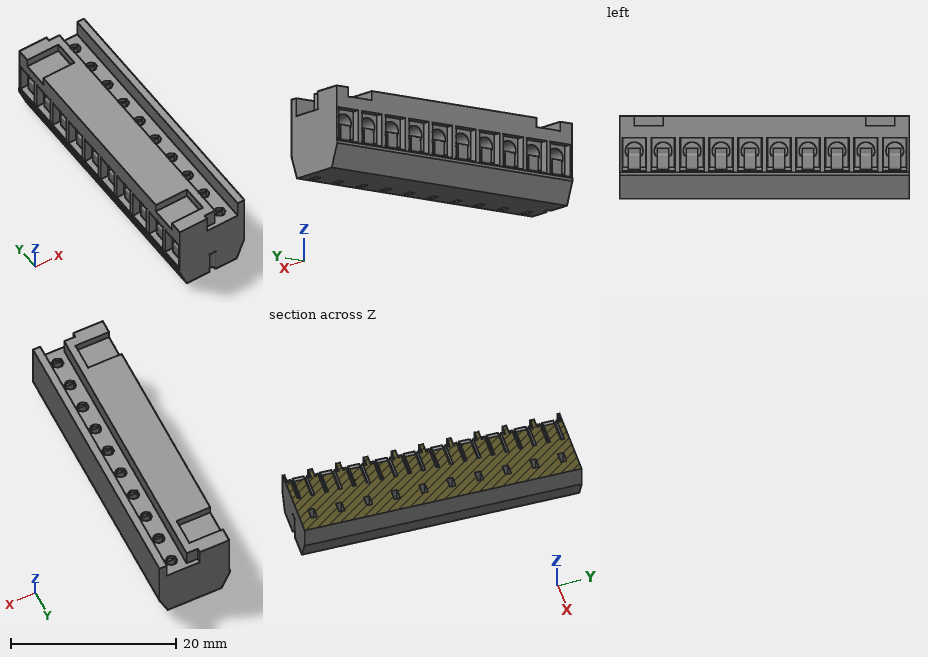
import cadquery as cq

LENGTH = 35.0
WIDTH = 9.5
HEIGHT = 10.0
POLES = 10
PITCH = LENGTH / POLES
pole_positions = [(i - (POLES - 1) / 2) * PITCH for i in range(POLES)]

LIP = 0.1
LIP_TOP = 3.22
SHOULDER_HEIGHT = 2.85
TAPER = 1.12

GROOVE_LEFT = 5.55
GROOVE_RIGHT = 8.5
GROOVE_FLOOR = 7.77
END_NOTCH_LEFT = 4.05
END_NOTCH_LENGTH = 0.55

RECESS_REACH = 4.62
RECESS_LENGTH = PITCH
RECESS_DEPTH = 1.15
RECESS_Y = LENGTH / 2 - PITCH

HOLE_X = (GROOVE_LEFT + GROOVE_RIGHT) / 2
HOLE_DIAMETER = 1.3
HOLE_DEPTH = 0.52
SLOT_WIDTH = 0.65

WINDOW_WIDTH = 2.95
WINDOW_FLOOR = 3.35
WINDOW_TOP = 7.35
WINDOW_DEPTH = 1.3

PLATE_WIDTH = 2.73
PLATE_BOTTOM = 3.8
PLATE_THICKNESS = 0.35
PLATE_BACK = LIP + WINDOW_DEPTH
PLATE_FRONT = PLATE_BACK - PLATE_THICKNESS
WIRE_DIAMETER = 2.15
WIRE_Z = 5.78
WIRE_FLAT_Z = 5.18
WIRE_END = 4.2

CLIP_WIDTH = 1.4
CLIP_THICKNESS = 0.3
CLIP_FRONT = PLATE_FRONT - CLIP_THICKNESS
CLIP_TOP = WIRE_FLAT_Z + CLIP_THICKNESS
CLIP_BOTTOM = PLATE_BOTTOM - CLIP_THICKNESS
CLIP_TAIL_TOP = 6.1

KEY_X = 4.85
KEY_HEIGHT = 3.2
KEY_MOUTH_WIDTH = 1.0
KEY_DEPTH = 0.5
KEY_MOUTH_RADIUS = 0.15
KEY_CORNER_RADIUS = 0.07


def block(x_range, y_center, y_length, z_range):
    """Box between two X and two Z values, centred on y_center."""
    return (
        cq.Workplane("XY")
        .box(x_range[1] - x_range[0], y_length, z_range[1] - z_range[0], centered=(False, True, False))
        .translate((x_range[0], y_center, z_range[0]))
    )


def extrude_profile(profile, y_center, y_length):
    """Extrude a closed XZ profile by y_length, centred on y_center."""
    return profile.close().extrude(y_length / 2, both=True).translate((0, y_center, 0))


def housing():
    """Profiled block with the top groove, its end notches and the two front recesses."""
    profile = cq.Workplane("XZ").polyline([
        (TAPER, 0),
        (WIDTH - TAPER, 0),
        (WIDTH, SHOULDER_HEIGHT),
        (WIDTH, HEIGHT),
        (LIP, HEIGHT),
        (LIP, LIP_TOP),
        (0, LIP_TOP),
        (0, SHOULDER_HEIGHT),
    ])
    body = extrude_profile(profile, 0, LENGTH)
    body = body.cut(block((GROOVE_LEFT, GROOVE_RIGHT), 0, LENGTH, (GROOVE_FLOOR, HEIGHT)))
    for side in (-1, 1):
        notch_y = side * (LENGTH - END_NOTCH_LENGTH) / 2
        body = body.cut(
            block((END_NOTCH_LEFT, GROOVE_LEFT), notch_y, END_NOTCH_LENGTH, (GROOVE_FLOOR, HEIGHT))
        )
        body = body.cut(
            block((0, RECESS_REACH), side * RECESS_Y, RECESS_LENGTH, (HEIGHT - RECESS_DEPTH, HEIGHT))
        )
    return body


def keyway():
    """Upright slot whose walls flare out at the mouth and round into its back."""
    mouth = KEY_MOUTH_WIDTH / 2
    wall = mouth - KEY_MOUTH_RADIUS
    back = wall - KEY_CORNER_RADIUS
    corner_start = KEY_DEPTH - KEY_CORNER_RADIUS
    return (
        cq.Workplane("XY")
        .moveTo(-mouth, 0)
        .radiusArc((-wall, KEY_MOUTH_RADIUS), -KEY_MOUTH_RADIUS)
        .lineTo(-wall, corner_start)
        .radiusArc((-back, KEY_DEPTH), KEY_CORNER_RADIUS)
        .lineTo(back, KEY_DEPTH)
        .radiusArc((wall, corner_start), KEY_CORNER_RADIUS)
        .lineTo(wall, KEY_MOUTH_RADIUS)
        .radiusArc((mouth, 0), -KEY_MOUTH_RADIUS)
        .close()
        .extrude(KEY_HEIGHT)
        .translate((KEY_X, -LENGTH / 2, 0))
    )


def test_hole(y):
    """Round hole in the groove floor above a slot that runs through the underside."""
    radius = HOLE_DIAMETER / 2
    bore = (
        cq.Workplane("XY", origin=(HOLE_X, y, GROOVE_FLOOR - HOLE_DEPTH))
        .circle(radius)
        .extrude(HOLE_DEPTH)
    )
    return bore.union(block((HOLE_X - radius, HOLE_X + radius), y, SLOT_WIDTH, (0, GROOVE_FLOOR)))


def window(y):
    """Window opening around the plate, plus the wire hole through it."""
    opening = block((0, PLATE_BACK), y, WINDOW_WIDTH, (WINDOW_FLOOR, WINDOW_TOP))
    plate = block((PLATE_FRONT, PLATE_BACK), y, PLATE_WIDTH, (PLATE_BOTTOM, WINDOW_TOP))
    bore = (
        cq.Workplane("YZ", origin=(PLATE_FRONT, y, WIRE_Z))
        .circle(WIRE_DIAMETER / 2)
        .extrude(WIRE_END - PLATE_FRONT)
    )
    below_flat = block((PLATE_FRONT, WIRE_END), y, WIRE_DIAMETER, (0, WIRE_FLAT_Z))
    return opening.cut(plate).union(bore.cut(below_flat))


def clip(y):
    """Strip with rounded folds: under the plate, up its front and back through the wire hole."""
    profile = (
        cq.Workplane("XZ")
        .moveTo(PLATE_BACK, CLIP_BOTTOM)
        .lineTo(PLATE_FRONT, CLIP_BOTTOM)
        .radiusArc((CLIP_FRONT, PLATE_BOTTOM), CLIP_THICKNESS)
        .lineTo(CLIP_FRONT, WIRE_FLAT_Z)
        .radiusArc((PLATE_FRONT, CLIP_TOP), CLIP_THICKNESS)
        .lineTo(WIRE_END, CLIP_TAIL_TOP)
        .lineTo(WIRE_END, WIRE_FLAT_Z)
        .lineTo(PLATE_FRONT, WIRE_FLAT_Z)
        .lineTo(PLATE_FRONT, PLATE_BOTTOM)
        .lineTo(PLATE_BACK, PLATE_BOTTOM)
    )
    return extrude_profile(profile, y, CLIP_WIDTH)


result = housing().cut(keyway())
for pole_y in pole_positions:
    result = result.cut(test_hole(pole_y)).cut(window(pole_y)).union(clip(pole_y))